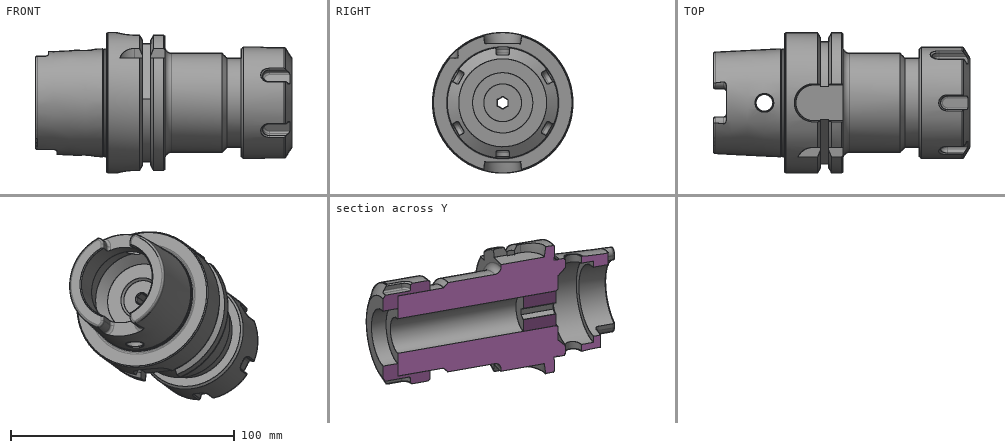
import cadquery as cq
import math


CLEARANCE = 1.0

SHANK_LENGTH = 32.0
GAUGE_DIAMETER = 48.01
GAUGE_DISTANCE = 6.3
TAPER_RATIO = 9.98
TAPER_END_X = -2.0
RELIEF_START_X = -1.4
RELIEF_RADIUS = 23.9
RELIEF_END_X = -0.7
SHANK_ROOT_RADIUS = 24.2
SHANK_END_FILLET = 1.0

UNDERCUT_RADIUS = 25.5
UNDERCUT_FLOOR_RADIUS = 24.8
UNDERCUT_DEPTH = 0.2

FLANGE_RADIUS = 31.5
FLANGE_WIDTH = 26.0
FLANGE_CHAMFER = 0.5
GROOVE_START_X = 16.05
GROOVE_END_X = 19.65
GROOVE_RADIUS = 27.5
GROOVE_FLANK_HEIGHT = 2.4
GROOVE_FLANK_WIDTH = GROOVE_FLANK_HEIGHT * math.tan(math.radians(30))

BODY_RADIUS = 44.45 / 2
BODY_ROOT_FILLET = 3.0
BODY_END_X = 51.6
NECK_RADIUS = 40.0 / 2
NECK_END_X = 76.0

CAVITY_RADIUS = 34.0 / 2
CAVITY_MOUTH_CHAMFER = 0.5
CLAMP_RECESS_START_X = -18.8
CLAMP_RECESS_RADIUS = 40.0 / 2
CAVITY_FLOOR_X = -1.8
CAVITY_FLOOR_RADIUS = 15.85
SCREW_HOLE_RADIUS = 16.92 / 2
SCREW_HOLE_CHAMFER = 1.0

CROSS_HOLE_X = -9.1
CROSS_HOLE_DIAMETER = 7.5
CROSS_HOLE_RIM_DIAMETER = 8.4

DRIVE_SLOT_DEPTHS = {1: 5.9, -1: 9.7}
DRIVE_SLOT_HALF_WIDTH = 6.3
DRIVE_SLOT_FLARE_RADIUS = 3.1
DRIVE_SLOT_SHOULDER_HEIGHT = 20.95
DRIVE_SLOT_FLOOR_FILLET = 1.3
DRIVE_SLOT_EDGE_FILLET = 1.0

KEYWAY_FLOOR_HEIGHT = 26.5
KEYWAY_FLOOR_RADIUS = 8.0
KEYWAY_CENTRE_X = 13.0
KEYWAY_DRAFT = 8.0

NOTCH_EDGE = 20.0
NOTCH_END_RADIUS = 7.2
NOTCH_STRAIGHT_START_X = 12.5

FLAT_START_Y = -math.sqrt(GROOVE_RADIUS**2 - KEYWAY_FLOOR_HEIGHT**2)
FLAT_END_Z = 1.7

NUT_RADIUS = 25.0
NUT_START_X = 60.2
NUT_CONE_START_X = 80.0
NUT_END_X = 83.06
NUT_END_RADIUS = 19.7
NUT_CHAMFER = 1.0
NUT_RIM_CHAMFER = 0.6
NUT_RIM_DROP = 0.2
NUT_OPENING_RADIUS = 27.0 / 2

WRENCH_SLOT_COUNT = 6
LONG_WRENCH_SLOT_INDEX = WRENCH_SLOT_COUNT - 1
WRENCH_SLOT_WIDTH = 6.0
WRENCH_SLOT_CENTRE_X = 72.8
LONG_WRENCH_SLOT_CENTRE_X = 69.0
WRENCH_SLOT_FLOOR_RADIUS = 21.4
WRENCH_SLOT_FILLET = 0.8
WRENCH_SLOT_RIM_RADIUS = 24.15
WRENCH_SLOT_RIM_ANGLE = 45.0

SCREW_LENGTH = 16.0
HEX_ACROSS_FLATS = 4.7
HEX_RIM_DIAMETER = 5.8


def taper_radius(x):
    return (GAUGE_DIAMETER + (x + GAUGE_DISTANCE) / TAPER_RATIO) / 2


def revolve_about_x(profile):
    """Turn a closed profile, with radius drawn as Y, about the X axis."""
    return profile.close().revolve(360, (0, 0, 0), (1, 0, 0))




def make_shank():
    """Solid taper shank, from its open end to the flange."""
    fillet_end_x = SHANK_END_FILLET - SHANK_LENGTH
    return revolve_about_x(
        cq.Workplane("XY")
        .moveTo(-SHANK_LENGTH, 0)
        .lineTo(-SHANK_LENGTH, taper_radius(-SHANK_LENGTH) - SHANK_END_FILLET)
        .radiusArc((fillet_end_x, taper_radius(fillet_end_x)), SHANK_END_FILLET)
        .lineTo(TAPER_END_X, taper_radius(TAPER_END_X))
        .lineTo(RELIEF_START_X, RELIEF_RADIUS)
        .lineTo(RELIEF_END_X, SHANK_ROOT_RADIUS)
        .lineTo(FLANGE_WIDTH / 2, SHANK_ROOT_RADIUS)
        .lineTo(FLANGE_WIDTH / 2, 0)
    )


def make_drive_slot_cutter(side, depth):
    """Slot with walls that flare outward, filleted where they meet its floor."""
    flare_start = DRIVE_SLOT_SHOULDER_HEIGHT - DRIVE_SLOT_FLARE_RADIUS
    flare_end_y = DRIVE_SLOT_HALF_WIDTH + DRIVE_SLOT_FLARE_RADIUS
    cutter = (
        cq.Workplane("YZ", origin=(depth - SHANK_LENGTH, 0, 0))
        .moveTo(-DRIVE_SLOT_HALF_WIDTH, 0)
        .lineTo(DRIVE_SLOT_HALF_WIDTH, 0)
        .lineTo(DRIVE_SLOT_HALF_WIDTH, flare_start)
        .radiusArc((flare_end_y, DRIVE_SLOT_SHOULDER_HEIGHT), DRIVE_SLOT_FLARE_RADIUS)
        .lineTo(FLANGE_RADIUS, DRIVE_SLOT_SHOULDER_HEIGHT)
        .lineTo(FLANGE_RADIUS, FLANGE_RADIUS)
        .lineTo(-FLANGE_RADIUS, FLANGE_RADIUS)
        .lineTo(-FLANGE_RADIUS, DRIVE_SLOT_SHOULDER_HEIGHT)
        .lineTo(-flare_end_y, DRIVE_SLOT_SHOULDER_HEIGHT)
        .radiusArc((-DRIVE_SLOT_HALF_WIDTH, flare_start), DRIVE_SLOT_FLARE_RADIUS)
        .close()
        .extrude(-2 * depth)
    )
    slot_floor_edges = cq.selectors.BoxSelector(
        (depth - SHANK_LENGTH - CLEARANCE, -FLANGE_RADIUS + CLEARANCE, CLEARANCE),
        (depth - SHANK_LENGTH + CLEARANCE, FLANGE_RADIUS - CLEARANCE, FLANGE_RADIUS - CLEARANCE),
    )
    cutter = cutter.faces(">X").edges(slot_floor_edges).fillet(DRIVE_SLOT_FLOOR_FILLET)
    return cutter if side > 0 else cutter.mirror("XY")


def make_lug_blank():
    """Round bar with both drive slots, its slot edges rounded at the open end."""
    blank = (
        cq.Workplane("YZ", origin=(-SHANK_LENGTH, 0, 0))
        .circle(FLANGE_RADIUS - CLEARANCE)
        .extrude(SHANK_LENGTH + FLANGE_WIDTH)
    )
    for side, depth in DRIVE_SLOT_DEPTHS.items():
        blank = blank.cut(make_drive_slot_cutter(side, depth))
    slot_edges = cq.selectors.BoxSelector(
        (-SHANK_LENGTH - CLEARANCE, -BODY_RADIUS, -BODY_RADIUS),
        (-SHANK_LENGTH + CLEARANCE, BODY_RADIUS, BODY_RADIUS),
    )
    return blank.faces("<X").edges(slot_edges).fillet(DRIVE_SLOT_EDGE_FILLET)


def make_flange_and_neck():
    """Flange, body and neck, from the contact face to the end inside the nut."""
    flank_start_x = GROOVE_START_X - GROOVE_FLANK_WIDTH
    flank_end_x = GROOVE_END_X + GROOVE_FLANK_WIDTH
    flank_foot_radius = FLANGE_RADIUS - GROOVE_FLANK_HEIGHT
    shoulder_end_x = BODY_END_X + BODY_RADIUS - NECK_RADIUS
    return revolve_about_x(
        cq.Workplane("XY")
        .moveTo(UNDERCUT_DEPTH, 0)
        .lineTo(UNDERCUT_DEPTH, UNDERCUT_FLOOR_RADIUS)
        .lineTo(0, UNDERCUT_RADIUS)
        .lineTo(0, FLANGE_RADIUS - FLANGE_CHAMFER)
        .lineTo(FLANGE_CHAMFER, FLANGE_RADIUS)
        .lineTo(flank_start_x, FLANGE_RADIUS)
        .lineTo(GROOVE_START_X, flank_foot_radius)
        .lineTo(GROOVE_START_X, GROOVE_RADIUS)
        .lineTo(GROOVE_END_X, GROOVE_RADIUS)
        .lineTo(GROOVE_END_X, flank_foot_radius)
        .lineTo(flank_end_x, FLANGE_RADIUS)
        .lineTo(FLANGE_WIDTH - FLANGE_CHAMFER, FLANGE_RADIUS)
        .lineTo(FLANGE_WIDTH, FLANGE_RADIUS - FLANGE_CHAMFER)
        .lineTo(FLANGE_WIDTH, BODY_RADIUS + BODY_ROOT_FILLET)
        .radiusArc((FLANGE_WIDTH + BODY_ROOT_FILLET, BODY_RADIUS), -BODY_ROOT_FILLET)
        .lineTo(BODY_END_X, BODY_RADIUS)
        .lineTo(shoulder_end_x, NECK_RADIUS)
        .lineTo(NECK_END_X, NECK_RADIUS)
        .lineTo(NECK_END_X, 0)
    )


def make_cavity():
    """Cavity with a clamping recess and a 45 degree rear cone, and the screw hole through the neck."""
    rear_cone_start_x = CAVITY_FLOOR_X - (CLAMP_RECESS_RADIUS - CAVITY_FLOOR_RADIUS)
    hole_chamfer_end_x = CAVITY_FLOOR_X + SCREW_HOLE_CHAMFER
    return revolve_about_x(
        cq.Workplane("XY")
        .moveTo(-SHANK_LENGTH, 0)
        .lineTo(-SHANK_LENGTH, CAVITY_RADIUS + CAVITY_MOUTH_CHAMFER)
        .lineTo(CAVITY_MOUTH_CHAMFER - SHANK_LENGTH, CAVITY_RADIUS)
        .lineTo(CLAMP_RECESS_START_X, CAVITY_RADIUS)
        .lineTo(CLAMP_RECESS_START_X, CLAMP_RECESS_RADIUS)
        .lineTo(rear_cone_start_x, CLAMP_RECESS_RADIUS)
        .lineTo(CAVITY_FLOOR_X, CAVITY_FLOOR_RADIUS)
        .lineTo(CAVITY_FLOOR_X, SCREW_HOLE_RADIUS + SCREW_HOLE_CHAMFER)
        .lineTo(hole_chamfer_end_x, SCREW_HOLE_RADIUS)
        .lineTo(NECK_END_X, SCREW_HOLE_RADIUS)
        .lineTo(NECK_END_X, 0)
    )


def make_cross_hole():
    """Hole along Z through both shank walls, with a shallow counterbore at each end."""
    rim_depth = (CROSS_HOLE_RIM_DIAMETER - CROSS_HOLE_DIAMETER) / 2
    rim_height = taper_radius(CROSS_HOLE_X) - rim_depth
    hole = (
        cq.Workplane("XY", origin=(CROSS_HOLE_X, 0, 0))
        .circle(CROSS_HOLE_DIAMETER / 2)
        .extrude(FLANGE_RADIUS, both=True)
    )
    rim = (
        cq.Workplane("XY", origin=(CROSS_HOLE_X, 0, rim_height))
        .circle(CROSS_HOLE_RIM_DIAMETER / 2)
        .extrude(FLANGE_RADIUS - rim_height)
    )
    return hole.union(rim).union(rim.mirror("XY"))


def make_keyway_cutter():
    """Round-ended keyway open toward +X, its walls drafted outward."""
    return (
        cq.Workplane("XY", origin=(0, 0, KEYWAY_FLOOR_HEIGHT))
        .moveTo(2 * FLANGE_WIDTH, -KEYWAY_FLOOR_RADIUS)
        .lineTo(2 * FLANGE_WIDTH, KEYWAY_FLOOR_RADIUS)
        .lineTo(KEYWAY_CENTRE_X, KEYWAY_FLOOR_RADIUS)
        .threePointArc(
            (KEYWAY_CENTRE_X - KEYWAY_FLOOR_RADIUS, 0),
            (KEYWAY_CENTRE_X, -KEYWAY_FLOOR_RADIUS),
        )
        .close()
        .extrude(FLANGE_RADIUS - KEYWAY_FLOOR_HEIGHT + CLEARANCE, taper=-KEYWAY_DRAFT)
    )


def make_notch_cutter():
    """Square-cornered notch along X whose inner end runs out on an arc."""
    outer_y = -NOTCH_EDGE - NOTCH_END_RADIUS
    return (
        cq.Workplane("XY", origin=(0, 0, NOTCH_EDGE))
        .moveTo(NOTCH_STRAIGHT_START_X, -NOTCH_EDGE)
        .lineTo(FLANGE_WIDTH, -NOTCH_EDGE)
        .lineTo(FLANGE_WIDTH, outer_y)
        .lineTo(NOTCH_STRAIGHT_START_X - NOTCH_END_RADIUS, outer_y)
        .radiusArc((NOTCH_STRAIGHT_START_X, -NOTCH_EDGE), NOTCH_END_RADIUS)
        .close()
        .extrude(FLANGE_RADIUS - NOTCH_EDGE)
    )


def make_groove_flat_cutter():
    """Segment of the groove floor that lies outside the flat's chord."""
    flat_end_y = -math.sqrt(GROOVE_RADIUS**2 - FLAT_END_Z**2)
    return (
        cq.Workplane("YZ", origin=(GROOVE_START_X, 0, 0))
        .moveTo(FLAT_START_Y, KEYWAY_FLOOR_HEIGHT)
        .lineTo(flat_end_y, FLAT_END_Z)
        .radiusArc((FLAT_START_Y, KEYWAY_FLOOR_HEIGHT), GROOVE_RADIUS)
        .close()
        .extrude(GROOVE_END_X - GROOVE_START_X)
    )


def make_holder():
    shank = make_shank().intersect(make_lug_blank())
    keyway = make_keyway_cutter()
    flange = (
        make_flange_and_neck()
        .cut(keyway)
        .cut(keyway.mirror("XY"))
        .cut(make_notch_cutter())
        .cut(make_groove_flat_cutter())
    )
    return shank.union(flange).cut(make_cavity()).cut(make_cross_hole())




def make_wrench_slot_outline(centre_x, height):
    """Outline of a wrench slot at +Z: a round inner end and straight sides toward +X."""
    half_width = WRENCH_SLOT_WIDTH / 2
    return (
        cq.Workplane("XY", origin=(0, 0, height))
        .moveTo(NUT_END_X + half_width, -half_width)
        .lineTo(NUT_END_X + half_width, half_width)
        .lineTo(centre_x, half_width)
        .threePointArc((centre_x - half_width, 0), (centre_x, -half_width))
        .close()
    )


def make_wrench_slot_cutter(centre_x):
    """Wrench slot at +Z with a filleted floor and a chamfered rim."""
    slot = (
        make_wrench_slot_outline(centre_x, WRENCH_SLOT_FLOOR_RADIUS)
        .extrude(NUT_RADIUS - WRENCH_SLOT_FLOOR_RADIUS + CLEARANCE)
        .faces("<Z")
        .edges("not >X")
        .fillet(WRENCH_SLOT_FILLET)
    )
    rim = make_wrench_slot_outline(centre_x, WRENCH_SLOT_RIM_RADIUS).extrude(
        NUT_RADIUS - WRENCH_SLOT_RIM_RADIUS + CLEARANCE, taper=-WRENCH_SLOT_RIM_ANGLE
    )
    return slot.union(rim)


def make_nut():
    nut = revolve_about_x(
        cq.Workplane("XY")
        .moveTo(NUT_START_X, NECK_RADIUS)
        .lineTo(NUT_START_X, NUT_RADIUS - NUT_CHAMFER)
        .lineTo(NUT_START_X + NUT_CHAMFER, NUT_RADIUS)
        .lineTo(NUT_CONE_START_X - NUT_RIM_CHAMFER, NUT_RADIUS)
        .lineTo(NUT_CONE_START_X, NUT_RADIUS - NUT_RIM_DROP)
        .lineTo(NUT_END_X, NUT_END_RADIUS)
        .lineTo(NUT_END_X, NUT_OPENING_RADIUS)
        .lineTo(NECK_END_X, NUT_OPENING_RADIUS)
        .lineTo(NECK_END_X, NECK_RADIUS)
    )
    for index in range(WRENCH_SLOT_COUNT):
        is_long = index == LONG_WRENCH_SLOT_INDEX
        slot = make_wrench_slot_cutter(LONG_WRENCH_SLOT_CENTRE_X if is_long else WRENCH_SLOT_CENTRE_X)
        angle = index * 360 / WRENCH_SLOT_COUNT
        nut = nut.cut(slot.rotate((0, 0, 0), (1, 0, 0), angle))
    return nut




def make_screw():
    """Round plug with a through hexagon whose corners point along Z."""
    start_x = CAVITY_FLOOR_X + SCREW_HOLE_CHAMFER
    hex_across_corners = HEX_ACROSS_FLATS / math.cos(math.radians(30))
    rim_depth = (HEX_RIM_DIAMETER - HEX_ACROSS_FLATS) / 2
    plane = cq.Workplane("YZ", origin=(start_x, 0, 0))
    plug = plane.circle(SCREW_HOLE_RADIUS).extrude(SCREW_LENGTH)
    hexagon = plane.transformed(rotate=(0, 0, 90)).polygon(6, hex_across_corners).extrude(SCREW_LENGTH)
    countersink = cq.Workplane(
        cq.Solid.makeCone(
            HEX_RIM_DIAMETER / 2,
            HEX_ACROSS_FLATS / 2,
            rim_depth,
            cq.Vector(start_x, 0, 0),
            cq.Vector(1, 0, 0),
        )
    )
    return plug.cut(hexagon).cut(countersink)


holder = make_holder()
nut = make_nut()
screw = make_screw()

result = cq.Compound.makeCompound([holder.solids().val(), nut.solids().val(), screw.solids().val()])